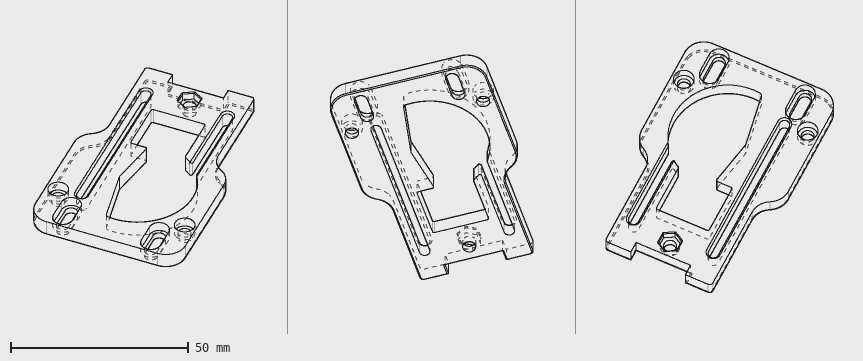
import cadquery as cq
import math

LENGTH = 71.0
WIDTH = 45.95
THICKNESS = 5.0
NECK_WIDTH = 33.4
CORNER_RADIUS = 5.95
SHOULDER_START_Y = 34.0
TIP_RADIUS = 1.0
BASE_CHAMFER = 0.35
NOTCH_WIDTH = 17.05
NOTCH_DEPTH = 3.4

WINDOW_WIDTH = 16.55
WINDOW_BOTTOM_Y = 39.8
WINDOW_TOP_Y = 55.3
DISC_RADIUS = 17.0
DISC_CENTER_Y = 25.55
VERTEX_X = -5.55
SIDE_LEAN = math.tan(math.radians(10.0))
SMALL_RADIUS = 0.5
DISC_CORNER_RADIUS = 1.0

GUIDE_X = 12.5
GUIDE_WIDTH = 3.0
GUIDE_TOP_Y = 62.5
GUIDE_BOTTOM_Y = 13.3
GUIDE_CHAMFER = 0.6

HOLE_DIAMETER = 3.7
HEAD_DIAMETER = 5.8
HEAD_DEPTH = 3.0
SCREW_X = 19.4
SCREW_Y = 14.0
SCREW_SLOT_X = 13.5
SCREW_SLOT_Y = 6.45
SCREW_SLOT_TRAVEL = 5.95

NUT_Y = 63.2
NUT_ACROSS_FLATS = 5.6
NUT_DEPTH = 2.5
NUT_CHAMFER = 0.3

FLARE_TAPER = -45
ALONG_Y = 90


def slot(x, y_low, y_high, width, z_bottom, height, taper=0):
    """Slot along Y whose rounded ends reach y_low and y_high at z_bottom."""
    return (
        cq.Workplane("XY", origin=(x, (y_low + y_high) / 2, z_bottom))
        .slot2D(y_high - y_low, width, ALONG_Y)
        .extrude(height, taper=taper)
    )


def cylinder(x, y, diameter, z_bottom):
    """Cylinder from z_bottom up to the top face."""
    return cq.Workplane("XY", origin=(x, y, z_bottom)).circle(diameter / 2).extrude(THICKNESS - z_bottom)


def make_plate():
    """Plate with a wide base, S-shaped shoulders, a notched narrow end and a chamfered underside."""
    half_width = WIDTH / 2
    half_neck = NECK_WIDTH / 2
    step = half_width - half_neck
    turn = math.acos(1 - step / (2 * CORNER_RADIUS))
    rise = CORNER_RADIUS * math.sin(turn)
    mid_x = half_width - step / 2
    mid_y = SHOULDER_START_Y + rise
    neck_y = SHOULDER_START_Y + 2 * rise
    notch_y = LENGTH - NOTCH_DEPTH
    half_notch = NOTCH_WIDTH / 2
    half_plate = (
        cq.Workplane("XY")
        .lineTo(half_width - CORNER_RADIUS, 0)
        .tangentArcPoint((half_width, CORNER_RADIUS), relative=False)
        .lineTo(half_width, SHOULDER_START_Y)
        .tangentArcPoint((mid_x, mid_y), relative=False)
        .tangentArcPoint((half_neck, neck_y), relative=False)
        .lineTo(half_neck, LENGTH - TIP_RADIUS)
        .tangentArcPoint((half_neck - TIP_RADIUS, LENGTH), relative=False)
        .lineTo(half_notch, LENGTH)
        .lineTo(half_notch, notch_y)
        .lineTo(0, notch_y)
        .close()
        .extrude(THICKNESS)
    )
    plate = half_plate.union(half_plate.mirror("YZ")).clean()
    return plate.faces("<Z").edges().chamfer(BASE_CHAMFER)


def make_disc_opening():
    """Disc whose left side is cut off by two straight sides that meet at a blunt vertex."""
    far_x = VERTEX_X + DISC_RADIUS * SIDE_LEAN
    disc = cq.Workplane("XY").center(0, DISC_CENTER_Y).circle(DISC_RADIUS).extrude(THICKNESS)
    keep = (
        cq.Workplane("XY")
        .moveTo(VERTEX_X, DISC_CENTER_Y)
        .lineTo(far_x, DISC_CENTER_Y - DISC_RADIUS)
        .lineTo(DISC_RADIUS, DISC_CENTER_Y - DISC_RADIUS)
        .lineTo(DISC_RADIUS, DISC_CENTER_Y + DISC_RADIUS)
        .lineTo(far_x, DISC_CENTER_Y + DISC_RADIUS)
        .close()
        .extrude(THICKNESS)
    )
    opening = disc.intersect(keep)
    return opening.edges("|Z and <Y").fillet(DISC_CORNER_RADIUS)


def corner_edge(body, x, y):
    """Vertical edge of the body nearest to the point (x, y)."""
    return body.edges("|Z").edges(cq.selectors.NearestToPointSelector((x, y, THICKNESS / 2)))


def cut_openings(body):
    """Cut the window, disc and guide slots, then round the corners where they meet."""
    half_window = WINDOW_WIDTH / 2
    window = (
        cq.Workplane("XY")
        .center(0, (WINDOW_BOTTOM_Y + WINDOW_TOP_Y) / 2)
        .rect(WINDOW_WIDTH, WINDOW_TOP_Y - WINDOW_BOTTOM_Y)
        .extrude(THICKNESS)
    )
    body = body.cut(window).cut(make_disc_opening())
    slot_ends = [(-GUIDE_X, GUIDE_BOTTOM_Y), (GUIDE_X, DISC_CENTER_Y)]
    for x, y_low in slot_ends:
        body = body.cut(slot(x, y_low, GUIDE_TOP_Y, GUIDE_WIDTH, 0, THICKNESS))

    def disc_top(x):
        return DISC_CENTER_Y + math.sqrt(DISC_RADIUS**2 - x**2)

    finger_x = GUIDE_X - GUIDE_WIDTH / 2
    corners = [
        (-half_window, WINDOW_TOP_Y),
        (half_window, WINDOW_TOP_Y),
        (-half_window, WINDOW_BOTTOM_Y),
        (VERTEX_X + (WINDOW_BOTTOM_Y - DISC_CENTER_Y) * SIDE_LEAN, WINDOW_BOTTOM_Y),
        (half_window, disc_top(half_window)),
        (finger_x, disc_top(finger_x)),
    ]
    for x, y in corners:
        body = corner_edge(body, x, y).fillet(SMALL_RADIUS)
    for x, y_low in slot_ends:
        flare = slot(x, y_low, GUIDE_TOP_Y, GUIDE_WIDTH, THICKNESS - GUIDE_CHAMFER, GUIDE_CHAMFER, FLARE_TAPER)
        body = body.cut(flare)
    return body


def cut_screw_seats(body):
    """Cut a sunk hole and a sunk slot on each side of the wide end."""
    seat_z = THICKNESS - HEAD_DEPTH
    for side in (-1, 1):
        for diameter, z_bottom in ((HOLE_DIAMETER, 0), (HEAD_DIAMETER, seat_z)):
            body = body.cut(cylinder(side * SCREW_X, SCREW_Y, diameter, z_bottom))
            reach = (SCREW_SLOT_TRAVEL + diameter) / 2
            y_low = SCREW_SLOT_Y - reach
            y_high = SCREW_SLOT_Y + reach
            body = body.cut(slot(side * SCREW_SLOT_X, y_low, y_high, diameter, z_bottom, THICKNESS - z_bottom))
    return body


def hexagon(z_bottom, height, taper=0):
    """Nut-shaped prism with its points along Y."""
    return (
        cq.Workplane("XY", origin=(0, NUT_Y, z_bottom))
        .polygon(6, NUT_ACROSS_FLATS, circumscribed=True)
        .extrude(height, taper=taper)
    )


def cut_nut_pocket(body):
    """Cut the hexagonal pocket, its chamfered rim and the through hole below it."""
    body = body.cut(cylinder(0, NUT_Y, HOLE_DIAMETER, 0))
    body = body.cut(hexagon(THICKNESS - NUT_DEPTH, NUT_DEPTH))
    return body.cut(hexagon(THICKNESS - NUT_CHAMFER, NUT_CHAMFER, FLARE_TAPER))


result = cut_nut_pocket(cut_screw_seats(cut_openings(make_plate())))